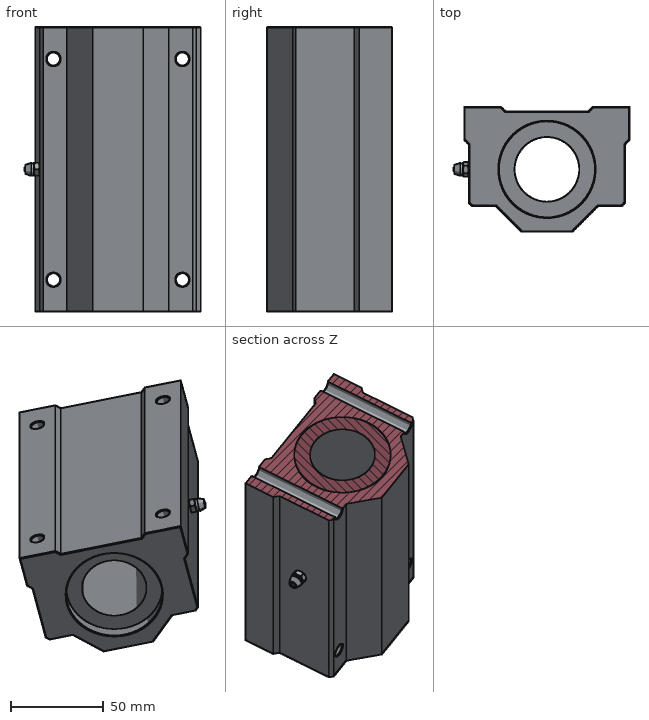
import cadquery as cq
import math

length = 155.0
width = 90.0
height = 68.0
overall_width = 96.0
edge_chamfer = 0.5
y_back = height / 2
y_front = -height / 2

flange_depth = 18.0
side_step = 2.5
shoulder_depth = 54.1
shoulder_chamfer = 1.9
nose_half_width = 13.8
relief_half_width = 25.0
relief_depth = 2.5
side_x = width / 2 - side_step
shoulder_y = y_back - shoulder_depth

hole_diameter = 7.0
hole_spacing_x = 70.0
hole_spacing_z = 120.0

bearing_outer_diameter = 52.1
bearing_inner_diameter = 35.0
bearing_recess = 7.1
bearing_length = length - 2 * bearing_recess

hex_across_flats = 7.1
hex_length = 3.1
hex_corner_chamfer = 0.6
neck_radius = 3.1
collar_radius = 3.5
collar_distance = 4.6
tip_radius = 2.5
ball_radius = 1.4
ball_height = 0.55
nipple_length = overall_width - width / 2 - side_x
tip_distance = nipple_length - ball_height


def make_housing():
    """Extruded block with chamfered end edges, a chamfered bore and four mounting holes."""
    nose_base_half_width = nose_half_width + shoulder_y - y_front
    right_half = [
        (relief_half_width - relief_depth, y_back - relief_depth),
        (relief_half_width, y_back),
        (width / 2, y_back),
        (width / 2, y_back - flange_depth),
        (side_x, y_back - flange_depth - side_step),
        (side_x, shoulder_y + shoulder_chamfer),
        (side_x - shoulder_chamfer, shoulder_y),
        (nose_base_half_width, shoulder_y),
        (nose_half_width, y_front),
    ]
    left_half = [(-x, y) for x, y in reversed(right_half)]
    block = (
        cq.Workplane("XY")
        .polyline(right_half + left_half)
        .close()
        .extrude(length / 2, both=True)
    )
    bore = cq.Workplane("XY").circle(bearing_outer_diameter / 2).extrude(length / 2, both=True)
    bored_block = block.cut(bore).faces("<Z or >Z").edges().chamfer(edge_chamfer)
    return drill_mounting_holes(bored_block)


def drill_mounting_holes(block):
    """Four through holes along Y with a small countersink at the shoulders and the back face."""
    hole_radius = hole_diameter / 2
    rim_radius = hole_radius + edge_chamfer
    profile = [
        (0, shoulder_y),
        (rim_radius, shoulder_y),
        (hole_radius, shoulder_y + edge_chamfer),
        (hole_radius, y_back - edge_chamfer),
        (rim_radius, y_back),
        (0, y_back),
    ]
    cutter = cq.Workplane("XY").polyline(profile).close().revolve(360, (0, 0, 0), (0, 1, 0))
    for x in (-hole_spacing_x / 2, hole_spacing_x / 2):
        for z in (-hole_spacing_z / 2, hole_spacing_z / 2):
            block = block.cut(cutter.translate((x, 0, z)))
    return block


def make_bearing():
    """Plain sleeve that fills the bore between the two end recesses."""
    return (
        cq.Workplane("XY")
        .circle(bearing_outer_diameter / 2)
        .circle(bearing_inner_diameter / 2)
        .extrude(bearing_length / 2, both=True)
    )


def make_nipple():
    """Hexagon base with corners along Y, tapered head and domed ball, turned from +Z to -X."""
    corner_radius = hex_across_flats / math.sqrt(3)
    hexagon = (
        cq.Workplane("XY")
        .polygon(6, 2 * corner_radius)
        .extrude(hex_length)
        .rotate((0, 0, 0), (0, 0, 1), 90)
    )
    corner_limit = (
        cq.Workplane("XY")
        .circle(corner_radius)
        .extrude(hex_length)
        .edges("%CIRCLE")
        .chamfer(hex_corner_chamfer)
    )
    dome_middle_radius = ball_radius / 2
    sphere_radius = (ball_radius**2 + ball_height**2) / (2 * ball_height)
    dome_middle_distance = (
        nipple_length - sphere_radius + math.sqrt(sphere_radius**2 - dome_middle_radius**2)
    )
    head = (
        cq.Workplane("XZ")
        .moveTo(0, hex_length)
        .lineTo(neck_radius, hex_length)
        .lineTo(collar_radius, collar_distance)
        .lineTo(tip_radius, tip_distance)
        .lineTo(ball_radius, tip_distance)
        .threePointArc((dome_middle_radius, dome_middle_distance), (0, nipple_length))
        .close()
        .revolve(360, (0, 0, 0), (0, 1, 0))
    )
    nipple = hexagon.intersect(corner_limit).union(head)
    return nipple.rotate((0, 0, 0), (0, 1, 0), -90).translate((-side_x, 0, 0))


housing = make_housing()
bearing = make_bearing()
nipple = make_nipple()

result = cq.Compound.makeCompound([housing.val(), bearing.val(), nipple.val()])